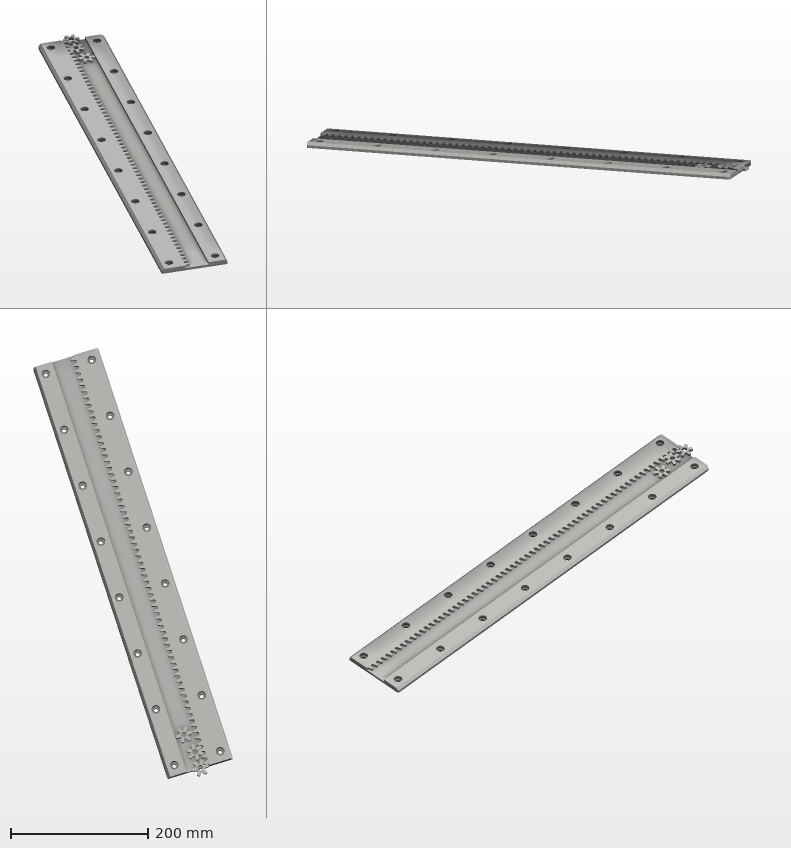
import cadquery as cq
import math

length = 650.0
width = 100.0
thickness = 8.0
corner_radius = 2.0
edge_chamfer = 4.0

floor_z = 4.0
channel_depth = thickness - floor_z
wall_y = 21.0
rack_tip_y = -6.4
rack_root_y = -13.8
rack_pitch = 10.0
rack_tip_width = 2.4
rack_root_gap = 4.0
rack_tip_radius = 0.5
rack_root_radius = 1.0

hole_diameter = 5.5
counterbore_diameter = 12.5
counterbore_depth = 5.0
holes_per_row = 8
hole_end_distance = 15.0
hole_row_y = 35.0

gear_teeth = 6
gear_tip_radius = 12.38
gear_root_radius = 6.4
gear_bore_diameter = 8.0
gear_tip_width = 3.6
gear_root_width = 4.2
flank_bulge = 0.6
tooth_tip_radius = 0.6
gear_height = channel_depth
tooth_angle = 360.0 / gear_teeth

gear_places = [
    (0.0, 0.0, tooth_angle / 2),
    (25.0, 0.0, 0.0),
    (55.0, 7.5, tooth_angle / 2),
]


def make_channel():
    """Space inside the channel: plain wall on +Y, row of tapered rack teeth on -Y."""
    half_gap = rack_root_gap / 2
    half_mouth = (rack_pitch - rack_tip_width) / 2
    gap_count = math.ceil(length / rack_pitch) + 1
    start_x = -rack_pitch / 2
    end_x = start_x + gap_count * rack_pitch
    outline = [(end_x, rack_tip_y), (end_x, wall_y), (start_x, wall_y), (start_x, rack_tip_y)]
    for i in range(gap_count):
        gap_x = i * rack_pitch
        outline += [
            (gap_x - half_mouth, rack_tip_y),
            (gap_x - half_gap, rack_root_y),
            (gap_x + half_gap, rack_root_y),
            (gap_x + half_mouth, rack_tip_y),
        ]
    channel = (
        cq.Workplane("XY")
        .workplane(offset=floor_z)
        .polyline(outline)
        .close()
        .extrude(channel_depth)
    )
    channel = channel.edges("|Z").edges("<Y").fillet(rack_root_radius)
    end_margin = rack_tip_width / 4
    tip_edges = channel.edges("|Z").filter(
        lambda edge: abs(edge.Center().y - rack_tip_y) < rack_tip_radius / 2
        and start_x + end_margin < edge.Center().x < end_x - end_margin
    )
    return tip_edges.fillet(rack_tip_radius)


def make_base():
    """Plate with rounded corners, chamfered long top edges, rack channel and screw holes."""
    plate = (
        cq.Workplane("XY")
        .box(length, width, thickness, centered=(False, True, False))
        .faces(">Z")
        .edges("|X")
        .chamfer(edge_chamfer)
    )
    rounded_outline = (
        cq.Workplane("XY")
        .box(length, width, thickness, centered=(False, True, False))
        .edges("|Z")
        .fillet(corner_radius)
    )
    plate = plate.intersect(rounded_outline).cut(make_channel())
    hole_spacing = (length - 2 * hole_end_distance) / (holes_per_row - 1)
    hole_points = [
        (hole_end_distance + i * hole_spacing, side * hole_row_y)
        for i in range(holes_per_row)
        for side in (-1, 1)
    ]
    return (
        plate.faces(">Z")
        .workplane(origin=(0, 0, thickness))
        .pushPoints(hole_points)
        .cboreHole(hole_diameter, counterbore_diameter, counterbore_depth)
    )


def make_tooth():
    """One gear tooth along +X, starting at the gear axis: bulged flanks, rounded tip corners."""
    half_tip = gear_tip_width / 2
    half_root = gear_root_width / 2
    tip_x = math.sqrt(gear_tip_radius**2 - half_tip**2)
    root_x = math.sqrt(gear_root_radius**2 - half_root**2)
    middle_x = (root_x + tip_x) / 2
    half_middle = (half_root + half_tip) / 2 + flank_bulge
    return (
        cq.Workplane("XY")
        .moveTo(0, -half_root)
        .lineTo(root_x, -half_root)
        .threePointArc((middle_x, -half_middle), (tip_x, -half_tip))
        .threePointArc((gear_tip_radius, 0), (tip_x, half_tip))
        .threePointArc((middle_x, half_middle), (root_x, half_root))
        .lineTo(0, half_root)
        .close()
        .extrude(gear_height)
        .edges("|Z")
        .edges(">X")
        .fillet(tooth_tip_radius)
    )


def make_gear(axis_x, axis_y, first_tooth):
    """Spur gear with a round body and a plain bore."""
    gear = cq.Workplane("XY").circle(gear_root_radius).extrude(gear_height)
    tooth = make_tooth()
    for i in range(gear_teeth):
        gear = gear.union(tooth.rotate((0, 0, 0), (0, 0, 1), first_tooth + i * tooth_angle))
    bore = cq.Workplane("XY").circle(gear_bore_diameter / 2).extrude(gear_height)
    return gear.cut(bore).translate((axis_x, axis_y, floor_z))


base = make_base()
gears = [make_gear(*place) for place in gear_places]

result = cq.Compound.makeCompound([base.val(), *[gear.val() for gear in gears]])